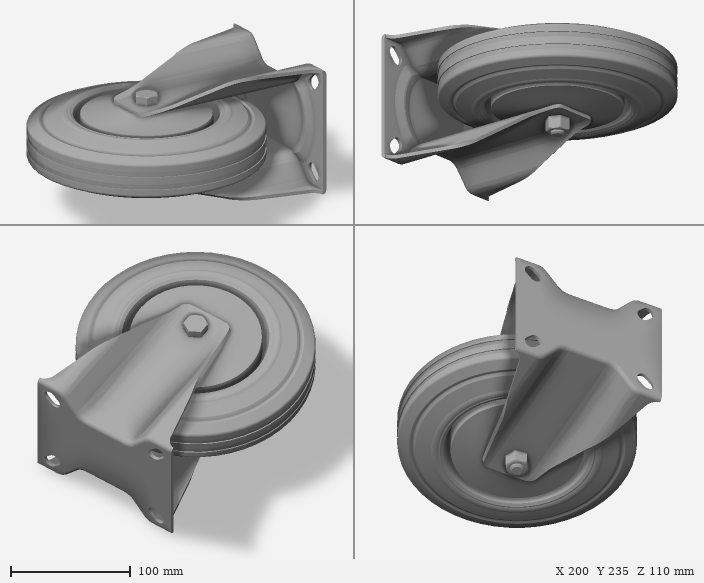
import cadquery as cq
import math

SHEET = 3.0
TYRE_DIAMETER = 200.0
OVERALL_LENGTH = 235
PLATE_BACK = OVERALL_LENGTH - TYRE_DIAMETER / 2
PLATE_FRONT = PLATE_BACK - SHEET
PLATE_HALF_WIDTH = 67.5
PLATE_HALF_HEIGHT = 55.0

LEG_INNER_Z = 30.0
LEG_OUTER_Z = LEG_INNER_Z + SHEET
FLANGE_INNER_Z = PLATE_HALF_HEIGHT - SHEET
WEB_HALF_WIDTH = 18.0
FLANGE_START = 48.0
WEB_BEND_RADIUS = 16.2
FLANGE_BEND_RADIUS = 8.5

LEG_TIP_Y = -20.0
LEG_TIP_HALF_WIDTH = 24.0
LEG_TIP_RADIUS = 9.5
TAPER_TOP = (58.5, 121.7)
FLARE_MIDDLE = (60.9, 127.4)
FLARE_END = (66.3, 131.4)
PLATE_BEND_OUTER = 3.5

SLOT_X = 52.5
SLOT_Z = 40.0
SLOT_WIDTH = 11.0
SLOT_CENTRES = 6.0
SLOT_ANGLE = 45

BEAD_FOOT = (53.5, 36.2)
BEAD_FOOT_CORNER = 10.3
BEAD_FLANK = 8.7
BEAD_RISE = 2.4
BEAD_PIT_RIM_RADIUS = 43.0
BEAD_PIT_FLOOR_RADIUS = 35.2

TYRE_RADIUS = TYRE_DIAMETER / 2
TREAD_HALF_WIDTH = 12.7
SHOULDER_MIDDLE = (99.6, 13.9)
SHOULDER_END = (98.7, 14.8)
RING_OUTER = (90.2, 18.5)
RING_BOTTOM = (87.5, 17.9)
RING_INNER = (84.8, 20.2)
RING_ROUNDING = 0.7
HEIGHT_TOLERANCE = 0.02
CREST_START = (72.0, 24.0)
CREST_TOP = (68.0, 25.1)
CREST_END = (65.5, 24.7)
TREAD_GROOVE_DEPTH = 1.0
TREAD_GROOVE_INNER = 3.3
TREAD_GROOVE_OUTER = 7.8

RIM_RADIUS = CREST_END[0]
RIM_LIP = (64.5, 25.0)
RIM_WALL_TOP = (61.5, 23.5)
RIM_FACE_Z = 7.0
CAP_RADIUS = 55.7
CAP_EDGE = (55.2, 23.7)
CAP_LIP_Z = 21.5
CAP_TOP_RADIUS = 23.0

BOLT_RADIUS = 12.0 / 2
BOLT_END_Z = -47.5
BOLT_END_CHAMFER = 1.5
HEX_FLATS = 17.9
HEAD_CHAMFER = 0.7
NUT_ROUNDING = 3.0
HEX_CORNERS = HEX_FLATS * 2 / math.sqrt(3)
HEAD_TOP_Z = 40.7
NUT_BOTTOM_Z = -44.6
HEAD_TURN = 90
NUT_TURN = 115


def bend_points():
    """Tangent points and arc midpoints of the upper leg's inner surface, from X = 0 towards +X."""
    web_centre = (WEB_HALF_WIDTH, LEG_INNER_Z + WEB_BEND_RADIUS)
    flange_centre = (FLANGE_START, FLANGE_INNER_Z - FLANGE_BEND_RADIUS)
    run = flange_centre[0] - web_centre[0]
    rise = flange_centre[1] - web_centre[1]
    reach = math.hypot(run, rise)
    angle = math.atan2(rise, run) + math.asin((WEB_BEND_RADIUS + FLANGE_BEND_RADIUS) / reach)

    def on_web_bend(a):
        return (web_centre[0] + WEB_BEND_RADIUS * math.sin(a), web_centre[1] - WEB_BEND_RADIUS * math.cos(a))

    def on_flange_bend(a):
        return (
            flange_centre[0] - FLANGE_BEND_RADIUS * math.sin(a),
            flange_centre[1] + FLANGE_BEND_RADIUS * math.cos(a),
        )

    return (
        on_web_bend(0),
        on_web_bend(angle / 2),
        on_web_bend(angle),
        on_flange_bend(angle),
        on_flange_bend(angle / 2),
        on_flange_bend(0),
    )


def leg_section(plane_y):
    """Open section of the upper leg's inner surface, from -X to +X."""
    right = bend_points()
    left = [(-x, z) for x, z in right]
    return (
        cq.Workplane("XZ", origin=(0, plane_y, 0))
        .moveTo(-PLATE_HALF_WIDTH, FLANGE_INNER_Z)
        .lineTo(*left[5])
        .threePointArc(left[4], left[3])
        .lineTo(*left[2])
        .threePointArc(left[1], left[0])
        .lineTo(*right[0])
        .threePointArc(right[1], right[2])
        .lineTo(*right[3])
        .threePointArc(right[4], right[5])
        .lineTo(PLATE_HALF_WIDTH, FLANGE_INNER_Z)
    )


def fork_interior(y_low, y_high):
    """Space enclosed by the inner surfaces of both legs between two Y values."""
    upper = leg_section(y_high).lineTo(PLATE_HALF_WIDTH, 0).lineTo(-PLATE_HALF_WIDTH, 0).close()
    half = upper.extrude(y_high - y_low)
    return half.union(half.mirror("XY")).clean()


def leg_outline():
    """Tapered leg outline seen along Z, as a tall prism."""
    outline = (
        cq.Workplane("XY")
        .moveTo(-PLATE_HALF_WIDTH, PLATE_BACK)
        .lineTo(PLATE_HALF_WIDTH, PLATE_BACK)
        .lineTo(PLATE_HALF_WIDTH, FLARE_END[1])
        .lineTo(*FLARE_END)
        .threePointArc(FLARE_MIDDLE, TAPER_TOP)
        .lineTo(LEG_TIP_HALF_WIDTH, LEG_TIP_Y)
        .lineTo(-LEG_TIP_HALF_WIDTH, LEG_TIP_Y)
        .lineTo(-TAPER_TOP[0], TAPER_TOP[1])
        .threePointArc((-FLARE_MIDDLE[0], FLARE_MIDDLE[1]), (-FLARE_END[0], FLARE_END[1]))
        .lineTo(-PLATE_HALF_WIDTH, FLARE_END[1])
        .close()
        .extrude(PLATE_HALF_HEIGHT)
    )
    return outline.edges("|Z and <Y").fillet(LEG_TIP_RADIUS)


def upper_leg():
    """Trim the inner surface to the outline, then thicken it along its normals."""
    outline = leg_outline().val()
    length = PLATE_BACK - LEG_TIP_Y
    leg = None
    for strip in leg_section(PLATE_BACK).wire().val().Edges():
        surface = cq.Face.makeRuledSurface(strip, strip.translate(cq.Vector(0, -length, 0)))
        face = surface.intersect(outline).Faces()[0]
        outward = SHEET if face.normalAt().z > 0 else -SHEET
        piece = cq.Workplane(face.thicken(outward))
        leg = piece if leg is None else leg.union(piece)
    return leg


def bead_outline(size, y, corner_radius):
    """Disc of the given radius and half height, clipped by two flats with rounded corners."""
    radius, half_height = size
    corner_x = math.sqrt(radius**2 - half_height**2)
    wire = (
        cq.Workplane("XZ", origin=(0, y, 0))
        .moveTo(-corner_x, half_height)
        .lineTo(corner_x, half_height)
        .threePointArc((radius, 0), (corner_x, -half_height))
        .lineTo(-corner_x, -half_height)
        .threePointArc((-radius, 0), (-corner_x, half_height))
        .close()
        .wire()
        .val()
    )
    return wire.fillet2D(corner_radius, wire.Vertices())


def make_bead():
    """Raised bead around a round pit down to plate level, limited to the space between the legs."""
    crest_y = PLATE_FRONT - BEAD_RISE
    crest_size = [length - BEAD_FLANK for length in BEAD_FOOT]
    foot = bead_outline(BEAD_FOOT, PLATE_FRONT, BEAD_FOOT_CORNER)
    crest = bead_outline(crest_size, crest_y, BEAD_FOOT_CORNER - BEAD_FLANK)
    raised = cq.Workplane(cq.Solid.makeLoft([foot, crest], True))
    pit = cq.Workplane(
        cq.Solid.makeCone(
            BEAD_PIT_RIM_RADIUS,
            BEAD_PIT_FLOOR_RADIUS,
            BEAD_RISE,
            pnt=cq.Vector(0, crest_y, 0),
            dir=cq.Vector(0, 1, 0),
        )
    )
    return raised.cut(pit).intersect(fork_interior(crest_y, PLATE_FRONT))


def mounting_slots():
    """Cutters for the four slots, each pointing diagonally at the plate's centre."""
    slots = cq.Workplane("XZ", origin=(0, PLATE_BACK, 0))
    cutters = None
    for side_x in (-1, 1):
        for side_z in (-1, 1):
            slot = (
                slots.center(side_x * SLOT_X, side_z * SLOT_Z)
                .slot2D(SLOT_CENTRES + SLOT_WIDTH, SLOT_WIDTH, SLOT_ANGLE * side_x * side_z)
                .extrude(SHEET)
            )
            cutters = slot if cutters is None else cutters.union(slot)
    return cutters


def make_fork():
    """Bent sheet: mounting plate and two corrugated legs."""
    upper = upper_leg()
    fork = fork_interior(PLATE_FRONT, PLATE_BACK).union(upper).union(upper.mirror("XY"))
    fork = fork.faces(">Y").edges("not |Z").fillet(PLATE_BEND_OUTER)
    fork = fork.union(make_bead()).cut(mounting_slots())
    return fork.cut(cq.Workplane("XY").circle(BOLT_RADIUS).extrude(PLATE_HALF_HEIGHT, both=True))


def spin(profile):
    """Revolve a closed profile of radius and Z about the axle."""
    return profile.revolve(360, (0, 0, 0), (0, 1, 0)).clean()


def edges_at_height(z):
    """Selector for edges centred on the plane at the given Z."""
    reach = TYRE_DIAMETER
    return cq.selectors.BoxSelector(
        (-reach, -reach, z - HEIGHT_TOLERANCE),
        (reach, reach, z + HEIGHT_TOLERANCE),
        boundingbox=True,
    )


def make_tyre():
    """Tyre with a ring groove in each side wall and two grooves around the tread."""
    tyre = spin(
        cq.Workplane("XZ")
        .moveTo(TYRE_RADIUS, 0)
        .lineTo(TYRE_RADIUS, TREAD_HALF_WIDTH)
        .threePointArc(SHOULDER_MIDDLE, SHOULDER_END)
        .lineTo(*RING_OUTER)
        .lineTo(*RING_BOTTOM)
        .lineTo(*RING_INNER)
        .lineTo(*CREST_START)
        .threePointArc(CREST_TOP, CREST_END)
        .lineTo(RIM_RADIUS, 0)
        .mirrorX()
    )
    for corner in (RING_OUTER, RING_BOTTOM, RING_INNER):
        for z in (corner[1], -corner[1]):
            tyre = tyre.edges(edges_at_height(z)).fillet(RING_ROUNDING)
    groove_width = TREAD_GROOVE_OUTER - TREAD_GROOVE_INNER
    for bottom in (TREAD_GROOVE_INNER, -TREAD_GROOVE_OUTER):
        groove = (
            cq.Workplane("XY", origin=(0, 0, bottom))
            .circle(TYRE_RADIUS)
            .circle(TYRE_RADIUS - TREAD_GROOVE_DEPTH)
            .extrude(groove_width)
        )
        tyre = tyre.cut(groove)
    return tyre


def make_rim():
    """Solid disc wheel centre with a raised outer wall on both sides."""
    return spin(
        cq.Workplane("XZ")
        .moveTo(RIM_RADIUS, 0)
        .lineTo(*CREST_END)
        .lineTo(*RIM_LIP)
        .lineTo(*RIM_WALL_TOP)
        .lineTo(CAP_RADIUS, RIM_FACE_Z)
        .lineTo(BOLT_RADIUS, RIM_FACE_Z)
        .lineTo(BOLT_RADIUS, 0)
        .mirrorX()
    )


def make_cap():
    """Upper hub cap, from the rim face up to the fork leg."""
    return spin(
        cq.Workplane("XZ")
        .moveTo(BOLT_RADIUS, RIM_FACE_Z)
        .lineTo(CAP_RADIUS, RIM_FACE_Z)
        .lineTo(CAP_RADIUS, CAP_LIP_Z)
        .lineTo(*CAP_EDGE)
        .lineTo(CAP_TOP_RADIUS, LEG_INNER_Z)
        .lineTo(BOLT_RADIUS, LEG_INNER_Z)
        .close()
    )


def hexagon(z, height, turn):
    """Hexagonal prism standing on the given Z."""
    return (
        cq.Workplane("XY", origin=(0, 0, z))
        .transformed(rotate=(0, 0, turn))
        .polygon(6, HEX_CORNERS)
        .extrude(height)
    )


def make_bolt():
    """Axle bolt with its head above the upper leg."""
    height = HEAD_TOP_Z - LEG_OUTER_Z
    corner_chamfer = (HEX_CORNERS - HEX_FLATS) / 2
    blank = cq.Workplane("XY", origin=(0, 0, LEG_OUTER_Z)).circle(HEX_CORNERS / 2).extrude(height)
    blank = blank.faces(">Z").chamfer(HEAD_CHAMFER, corner_chamfer)
    head = hexagon(LEG_OUTER_Z, height, HEAD_TURN).intersect(blank)
    shank = (
        cq.Workplane("XY", origin=(0, 0, BOLT_END_Z))
        .circle(BOLT_RADIUS)
        .extrude(LEG_OUTER_Z - BOLT_END_Z)
        .faces("<Z")
        .chamfer(BOLT_END_CHAMFER)
    )
    return head.union(shank)


def make_nut():
    """Nut below the lower leg, its lower corners rounded off."""
    height = -LEG_OUTER_Z - NUT_BOTTOM_Z
    blank = cq.Workplane("XY", origin=(0, 0, NUT_BOTTOM_Z)).circle(HEX_CORNERS / 2).extrude(height)
    blank = blank.faces("<Z").edges().fillet(NUT_ROUNDING)
    nut = hexagon(NUT_BOTTOM_Z, height, NUT_TURN).intersect(blank)
    return nut.cut(cq.Workplane("XY", origin=(0, 0, NUT_BOTTOM_Z)).circle(BOLT_RADIUS).extrude(height))


fork = make_fork()
tyre = make_tyre()
rim = make_rim()
upper_cap = make_cap()
lower_cap = upper_cap.mirror("XY")
bolt = make_bolt()
nut = make_nut()

result = cq.Compound.makeCompound(
    [body.val() for body in (fork, tyre, rim, upper_cap, lower_cap, bolt, nut)]
)